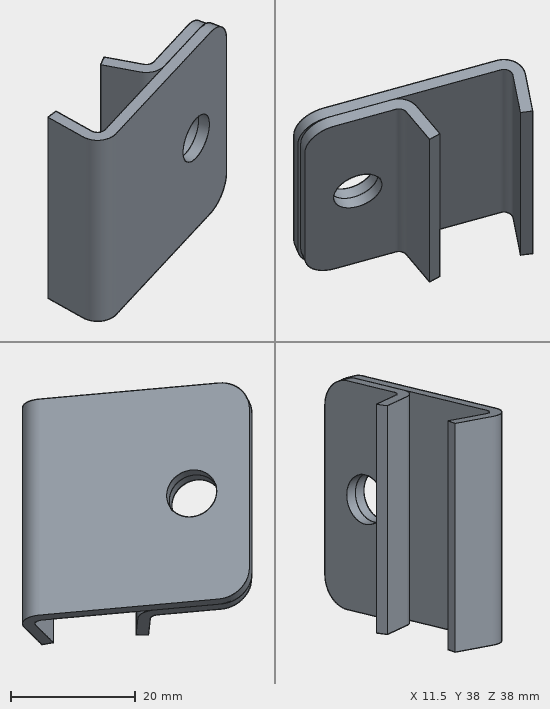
import cadquery as cq
import math

plate_length = 38.0
height = 38.0
depth = 11.5

sheet = 2.0
bend_inner_radius = 1.5
bend_outer_radius = bend_inner_radius + sheet
corner_radius = 5.0

plate_bend_angle = 100.0
clip_bend_angle = 75.0
plate_bend_y = bend_outer_radius
clip_bend_y = 22.05

clip_setback = 0.5
clip_end_y = plate_length - clip_setback

hole_diameter = 8.2
hole_y = plate_length - 9.5
hole_z = height / 2


def bent_sheet(back_x, end_y, bend_y, bend_angle):
    """Flat sheet with a lip bent toward -X, two rounded corners and a hole."""
    front_x = back_x - sheet
    center_x = back_x - bend_outer_radius
    bend = math.radians(bend_angle)

    def on_bend(radius, angle):
        return (center_x + radius * math.cos(angle), bend_y - radius * math.sin(angle))

    inner_tangent = on_bend(bend_inner_radius, bend)
    outer_tangent = on_bend(bend_outer_radius, bend)

    farthest_tangent_x = min(inner_tangent[0], outer_tangent[0])
    lip_length = (depth + farthest_tangent_x) / math.sin(bend)
    lip_x = -lip_length * math.sin(bend)
    lip_y = -lip_length * math.cos(bend)

    body = (
        cq.Workplane("XY")
        .moveTo(back_x, end_y)
        .lineTo(back_x, bend_y)
        .threePointArc(on_bend(bend_outer_radius, bend / 2), outer_tangent)
        .line(lip_x, lip_y)
        .lineTo(inner_tangent[0] + lip_x, inner_tangent[1] + lip_y)
        .lineTo(*inner_tangent)
        .threePointArc(on_bend(bend_inner_radius, bend / 2), (front_x, bend_y))
        .lineTo(front_x, end_y)
        .close()
        .extrude(height)
    )
    body = body.faces(">Y").edges("|X").fillet(corner_radius)

    hole = (
        cq.Workplane("YZ", origin=(front_x, hole_y, hole_z))
        .circle(hole_diameter / 2)
        .extrude(sheet)
    )
    return body.cut(hole)


plate = bent_sheet(0, plate_length, plate_bend_y, plate_bend_angle)
clip = bent_sheet(-sheet, clip_end_y, clip_bend_y, clip_bend_angle)

result = cq.Compound.makeCompound([plate.val(), clip.val()])